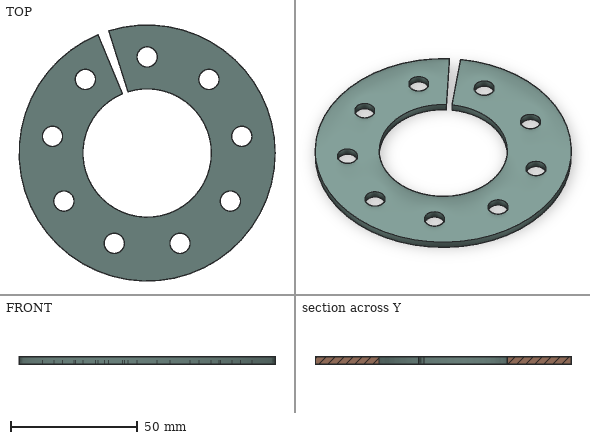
import cadquery as cq
import math

outer_diameter = 101.6
inner_diameter = outer_diameter / 2
thickness = 3.0

hole_count = 9
hole_diameter = 7.9
hole_circle_radius = (outer_diameter + inner_diameter) / 4
hole_pitch_angle = 360 / hole_count
first_hole_angle = 90.0

split_angle = 5.0
split_center_angle = first_hole_angle + hole_pitch_angle / 2
split_reach = outer_diameter


def polar_point(radius, angle):
    """Point in the XY plane at an angle in degrees from +X."""
    radians = math.radians(angle)
    return (radius * math.cos(radians), radius * math.sin(radians))


def make_ring():
    return (
        cq.Workplane("XY")
        .circle(outer_diameter / 2)
        .circle(inner_diameter / 2)
        .extrude(thickness)
    )


def make_holes():
    return (
        cq.Workplane("XY")
        .polarArray(hole_circle_radius, first_hole_angle, 360, hole_count)
        .circle(hole_diameter / 2)
        .extrude(thickness)
    )


def make_split():
    """Wedge with its tip on the ring axis, so both split faces are radial."""
    return (
        cq.Workplane("XY")
        .polyline([
            (0, 0),
            polar_point(split_reach, split_center_angle - split_angle / 2),
            polar_point(split_reach, split_center_angle + split_angle / 2),
        ])
        .close()
        .extrude(thickness)
    )


result = make_ring().cut(make_holes()).cut(make_split())